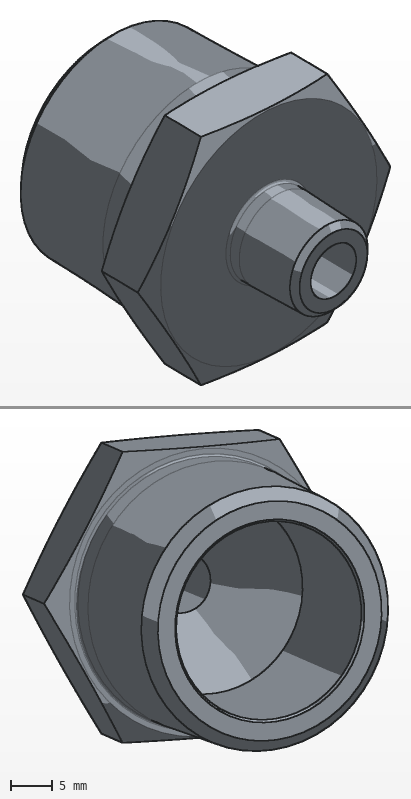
import cadquery as cq
import math

total_length = 40.0
hex_start = 20.2
hex_end = 28.3
large_thread_end = 16.85
small_thread_start = 30.3

hex_across_corners = 41.55
hex_chamfer_angle = 15
hex_chamfer_diameter = 35.6

large_diameter = 33.65
small_diameter = 13.4
radius_taper = 1 / 32
large_end_chamfer = 1.55
small_end_chamfer = 0.85
large_root_fillet = 0.3
small_root_fillet = 0.37

through_diameter = 7.5
large_bore_diameter = 24.5
large_bore_depth = 18.3
bore_cone_angle = 90
bore_mouth_chamfer = 0.3


def revolve_about_x(outline):
    """Close an (x, radius) outline and turn it around the X axis."""
    return outline.close().revolve(360, (0, 0, 0), (1, 0, 0))


def make_hexagon():
    """Hexagon with corners on +Y and -Y, its corners cut conically at both faces."""
    corner_radius = hex_across_corners / 2
    face_radius = hex_chamfer_diameter / 2
    corner_cut = (corner_radius - face_radius) * math.tan(math.radians(hex_chamfer_angle))
    prism = (
        cq.Workplane("YZ", origin=(hex_start, 0, 0))
        .polygon(6, hex_across_corners)
        .extrude(hex_end - hex_start)
    )
    envelope = revolve_about_x(
        cq.Workplane("XZ")
        .moveTo(hex_start, 0)
        .lineTo(hex_start, face_radius)
        .lineTo(hex_start + corner_cut, corner_radius)
        .lineTo(hex_end - corner_cut, corner_radius)
        .lineTo(hex_end, face_radius)
        .lineTo(hex_end, 0)
    )
    return prism.intersect(envelope)


def make_spigot(hex_face, thread_start, free_end, diameter, end_chamfer, root_fillet):
    """Cylinder and tapered thread running from a hexagon face out to a chamfered free end."""
    outward = math.copysign(1, free_end - hex_face)
    base_radius = diameter / 2
    chamfer_start = free_end - outward * end_chamfer
    thread_tip_radius = base_radius - abs(chamfer_start - thread_start) * radius_taper
    arc_offset = root_fillet * (1 - math.sqrt(0.5))
    return revolve_about_x(
        cq.Workplane("XZ")
        .moveTo(hex_face, 0)
        .lineTo(hex_face, base_radius + root_fillet)
        .threePointArc(
            (hex_face + outward * arc_offset, base_radius + arc_offset),
            (hex_face + outward * root_fillet, base_radius),
        )
        .lineTo(thread_start, base_radius)
        .lineTo(chamfer_start, thread_tip_radius)
        .lineTo(free_end, thread_tip_radius - end_chamfer)
        .lineTo(free_end, 0)
    )


def make_bore():
    """Wide bore from the large end, coned down to a hole that runs right through."""
    wide_radius = large_bore_diameter / 2
    through_radius = through_diameter / 2
    cone_length = (wide_radius - through_radius) / math.tan(math.radians(bore_cone_angle / 2))
    return revolve_about_x(
        cq.Workplane("XZ")
        .moveTo(0, 0)
        .lineTo(0, wide_radius + bore_mouth_chamfer)
        .lineTo(bore_mouth_chamfer, wide_radius)
        .lineTo(large_bore_depth, wide_radius)
        .lineTo(large_bore_depth + cone_length, through_radius)
        .lineTo(total_length, through_radius)
        .lineTo(total_length, 0)
    )


large_spigot = make_spigot(
    hex_start, large_thread_end, 0, large_diameter, large_end_chamfer, large_root_fillet
)
small_spigot = make_spigot(
    hex_end, small_thread_start, total_length, small_diameter, small_end_chamfer, small_root_fillet
)
result = make_hexagon().union(large_spigot).union(small_spigot).cut(make_bore())